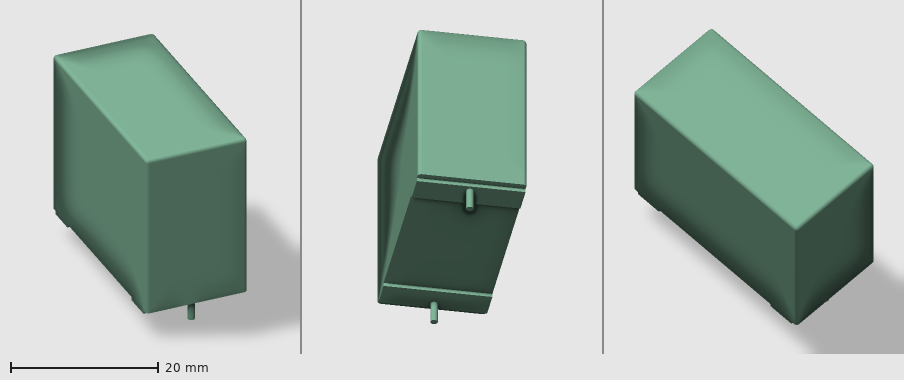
import cadquery as cq

case_length = 31.5
case_width = 15.0
edge_radius = 0.5

overall_height = 27.5
pin_length = 3.0
foot_height = 0.5
case_height = overall_height - pin_length - foot_height

foot_length = 4.0
foot_inset = 1.0

pin_diameter = 1.0
pin_spacing = 27.5


def make_case():
    """Box standing on Z = 0, rounded everywhere except around the bottom face."""
    box = cq.Workplane("XY").box(case_length, case_width, case_height, centered=(True, True, False))
    return box.edges("|Z or >Z").fillet(edge_radius)


def make_foot(side):
    """Low pad across the full case width; side is -1 or +1 along X."""
    center_x = side * (case_length / 2 - foot_inset - foot_length / 2)
    return (
        cq.Workplane("XY")
        .center(center_x, 0)
        .rect(foot_length, case_width)
        .extrude(-foot_height)
    )


def make_pin(side):
    """Round lead reaching from the case bottom past the foot."""
    return (
        cq.Workplane("XY")
        .center(side * pin_spacing / 2, 0)
        .circle(pin_diameter / 2)
        .extrude(-(foot_height + pin_length))
    )


result = make_case()
for side in (-1, 1):
    result = result.union(make_foot(side)).union(make_pin(side))